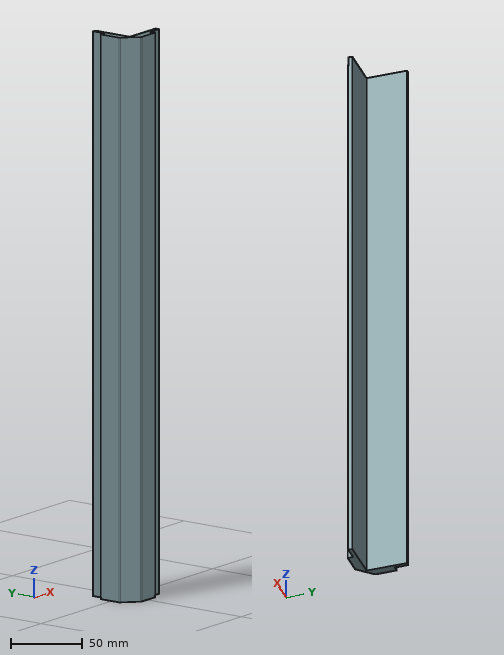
import cadquery as cq

LEG_LENGTH = 37.0
PROFILE_LENGTH = 406.9

PAD_THICKNESS = 7.0
LIP_THICKNESS = 3.0
PAD_END = 27.0
CORNER_SETBACK = 11.0
FLAT_EDGE_RADIUS = 1.5

LIP_OFFSET = PAD_THICKNESS - LIP_THICKNESS


def x_leg_points():
    """Leg along X, from the corner flat out to its free end."""
    return [
        (CORNER_SETBACK, 0),
        (PAD_END, 0),
        (PAD_END, LIP_OFFSET),
        (LEG_LENGTH, LIP_OFFSET),
        (LEG_LENGTH, PAD_THICKNESS),
    ]


def angle_outline():
    """Closed outline of the angle, symmetric about the line X = Y, outer corner at the origin."""
    x_leg = x_leg_points()
    inner_corner = (PAD_THICKNESS, PAD_THICKNESS)
    y_leg = [(y, x) for x, y in reversed(x_leg)]
    return x_leg + [inner_corner] + y_leg


def make_angle():
    """Extruded angle with sharp edges."""
    return cq.Workplane("XY").polyline(angle_outline()).close().extrude(PROFILE_LENGTH)


def round_flat_edges(angle):
    """Round the two long edges that bound the corner flat."""
    return angle.edges("|Z").edges("<(1, 1, 0)").fillet(FLAT_EDGE_RADIUS)


result = round_flat_edges(make_angle())